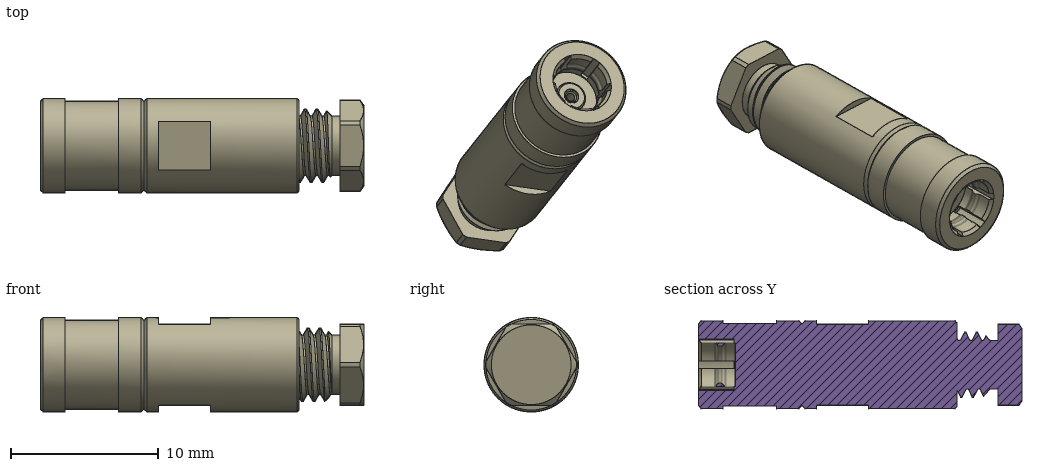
import cadquery as cq
import math

LENGTH = 21.9

BODY_RADIUS = 3.2
BODY_END = 17.5
FRONT_CHAMFER = 0.2
REAR_CHAMFER = 0.13
NECK_RADIUS = 3.02
NECK_START = 1.69
NECK_END = 5.28
V_GROOVE_CENTRE = 7.0
V_GROOVE_DEPTH = 0.2

FLAT_START = 8.0
FLAT_LENGTH = 3.5
FLAT_ACROSS = 5.5

SHANK_RADIUS = 2.01
THREAD_RADIUS = 2.5
THREAD_PITCH = 0.79
THREAD_FLANK_ANGLE = 30.0
THREAD_CREST_WIDTH = THREAD_PITCH / 8
THREAD_ROOT_OVERLAP = 0.05
THREAD_END = 19.7
THREAD_CREST_ABOVE = 18.11
HIDDEN_TURNS = 2
THREAD_TURNS = 5
HEAD_START = 20.25
HEX_ACROSS_FLATS = 5.5
HALF_HEX_ANGLE = 30.0
HEX_CORNER_RADIUS = 3.09
HEX_END_RADIUS = 2.7
HEX_CHAMFER_LENGTH = 0.28

MOUTH_RADIUS = 2.08
MOUTH_CONE_LENGTH = 0.22
SOCKET_RADIUS = 1.86
SOCKET_DEPTH = 2.5
RIDGE_RADIUS = 1.69
RIDGE_START = 1.14
RIDGE_WIDTH = 0.22
RIDGE_FRONT_SLOPE = 0.22
RIDGE_REAR_SLOPE = 0.26
RIDGE_BLEND = 0.1
FINGER_COUNT = 6
FINGER_SLOT_WIDTH = 0.5
FINGER_SLOT_DEPTH = 2.4

INSULATOR_RADIUS = 1.03
INSULATOR_CHAMFER = 0.1
INSULATOR_FACE = 2.23
CONTACT_RADIUS = 0.5
CONTACT_RECESS = 0.1
CONTACT_BORE_RADIUS = 0.28
CONTACT_LEAD_IN = 0.1
CONTACT_BORE_DEPTH = 1.31
DRILL_POINT_DEPTH = 0.18


def turned(points):
    """Revolve a closed outline of (x, radius) points about the X axis."""
    return cq.Workplane("XY").polyline(points).close().revolve(360, (0, 0, 0), (1, 0, 0))


def disc(radius, start, end):
    """Cylinder on the X axis from start to end."""
    return cq.Workplane("YZ", origin=(start, 0, 0)).circle(radius).extrude(end - start)


def make_shell():
    shell = turned([
        (0, 0),
        (0, BODY_RADIUS - FRONT_CHAMFER),
        (FRONT_CHAMFER, BODY_RADIUS),
        (NECK_START, BODY_RADIUS),
        (NECK_START, NECK_RADIUS),
        (NECK_END, NECK_RADIUS),
        (NECK_END, BODY_RADIUS),
        (V_GROOVE_CENTRE - V_GROOVE_DEPTH, BODY_RADIUS),
        (V_GROOVE_CENTRE, BODY_RADIUS - V_GROOVE_DEPTH),
        (V_GROOVE_CENTRE + V_GROOVE_DEPTH, BODY_RADIUS),
        (BODY_END - REAR_CHAMFER, BODY_RADIUS),
        (BODY_END, BODY_RADIUS - REAR_CHAMFER),
        (BODY_END, 0),
    ])
    cut_depth = BODY_RADIUS - FLAT_ACROSS / 2
    for side in (1, -1):
        flat = cq.Workplane("XY").box(FLAT_LENGTH, 2 * BODY_RADIUS, 2 * cut_depth)
        shell = shell.cut(flat.translate((FLAT_START + FLAT_LENGTH / 2, 0, side * BODY_RADIUS)))
    return shell


def make_thread():
    """Right-hand thread ridge whose rear end runs out along a 45 degree cone."""
    start = THREAD_CREST_ABOVE - HIDDEN_TURNS * THREAD_PITCH
    root_radius = SHANK_RADIUS - THREAD_ROOT_OVERLAP
    half_crest = THREAD_CREST_WIDTH / 2
    flank_run = (THREAD_RADIUS - root_radius) * math.tan(math.radians(THREAD_FLANK_ANGLE))
    half_root = half_crest + flank_run
    helix = cq.Wire.makeHelix(THREAD_PITCH, THREAD_TURNS * THREAD_PITCH, root_radius)
    ridge = (
        cq.Workplane("XZ")
        .polyline([
            (root_radius, -half_root),
            (THREAD_RADIUS, -half_crest),
            (THREAD_RADIUS, half_crest),
            (root_radius, half_root),
        ])
        .close()
        .sweep(cq.Workplane(obj=helix), isFrenet=True)
    )
    along_x = cq.Plane(origin=(start, 0, 0), xDir=(0, 0, 1), normal=(1, 0, 0))
    ridge = cq.Workplane(obj=ridge.val().moved(cq.Location(along_x)))
    runout = BODY_RADIUS - SHANK_RADIUS
    envelope = turned([
        (FLAT_START, 0),
        (FLAT_START, BODY_RADIUS),
        (THREAD_END - runout, BODY_RADIUS),
        (THREAD_END, SHANK_RADIUS),
        (THREAD_END, 0),
    ])
    return ridge.intersect(envelope)


def make_head():
    head = (
        cq.Workplane("YZ", origin=(HEAD_START, 0, 0))
        .polygon(6, HEX_ACROSS_FLATS, circumscribed=True)
        .extrude(LENGTH - HEAD_START)
        .rotate((0, 0, 0), (1, 0, 0), HALF_HEX_ANGLE)
    )
    rounding = turned([
        (HEAD_START, 0),
        (HEAD_START, HEX_CORNER_RADIUS),
        (LENGTH - HEX_CHAMFER_LENGTH, HEX_CORNER_RADIUS),
        (LENGTH, HEX_END_RADIUS),
        (LENGTH, 0),
    ])
    return head.intersect(rounding)


def make_socket():
    """Space removed from the mating end, including the slots between the fingers."""
    crest_start = RIDGE_START + RIDGE_FRONT_SLOPE
    crest_end = crest_start + RIDGE_WIDTH
    socket = turned([
        (0, 0),
        (0, MOUTH_RADIUS),
        (MOUTH_CONE_LENGTH, SOCKET_RADIUS),
        (RIDGE_START, SOCKET_RADIUS),
        (crest_start, RIDGE_RADIUS),
        (crest_end, RIDGE_RADIUS),
        (crest_end + RIDGE_REAR_SLOPE, SOCKET_RADIUS),
        (SOCKET_DEPTH, SOCKET_RADIUS),
        (SOCKET_DEPTH, 0),
    ])
    half_blend = RIDGE_BLEND / 2
    ridge_corners = cq.selectors.BoxSelector(
        (RIDGE_START - half_blend, -half_blend, -half_blend),
        (crest_end + RIDGE_REAR_SLOPE + half_blend, half_blend, half_blend),
    )
    socket = socket.edges(ridge_corners).fillet(RIDGE_BLEND)
    slot_limit = disc(MOUTH_RADIUS, 0, FINGER_SLOT_DEPTH)
    for index in range(FINGER_COUNT // 2):
        slot = cq.Workplane("XY").box(2 * FINGER_SLOT_DEPTH, 2 * BODY_RADIUS, FINGER_SLOT_WIDTH)
        slot = slot.rotate((0, 0, 0), (1, 0, 0), index * 360 / FINGER_COUNT)
        socket = socket.union(slot.intersect(slot_limit))
    return socket


def make_insulator():
    """Insulator with the bored contact slightly below its front face."""
    insulator = disc(INSULATOR_RADIUS, INSULATOR_FACE, SOCKET_DEPTH)
    insulator = insulator.faces("<X").chamfer(INSULATOR_CHAMFER)
    contact_face = INSULATOR_FACE + CONTACT_RECESS
    bore_end = contact_face + CONTACT_BORE_DEPTH
    hollow = turned([
        (INSULATOR_FACE, 0),
        (INSULATOR_FACE, CONTACT_RADIUS),
        (contact_face, CONTACT_RADIUS),
        (contact_face, CONTACT_BORE_RADIUS + CONTACT_LEAD_IN),
        (contact_face + CONTACT_LEAD_IN, CONTACT_BORE_RADIUS),
        (bore_end, CONTACT_BORE_RADIUS),
        (bore_end + DRILL_POINT_DEPTH, 0),
    ])
    return insulator, hollow


insulator, contact_hollow = make_insulator()
shank = disc(SHANK_RADIUS, BODY_END, HEAD_START)
result = (
    make_shell()
    .cut(make_socket())
    .union(insulator)
    .cut(contact_hollow)
    .union(shank)
    .union(make_head())
    .union(make_thread())
)